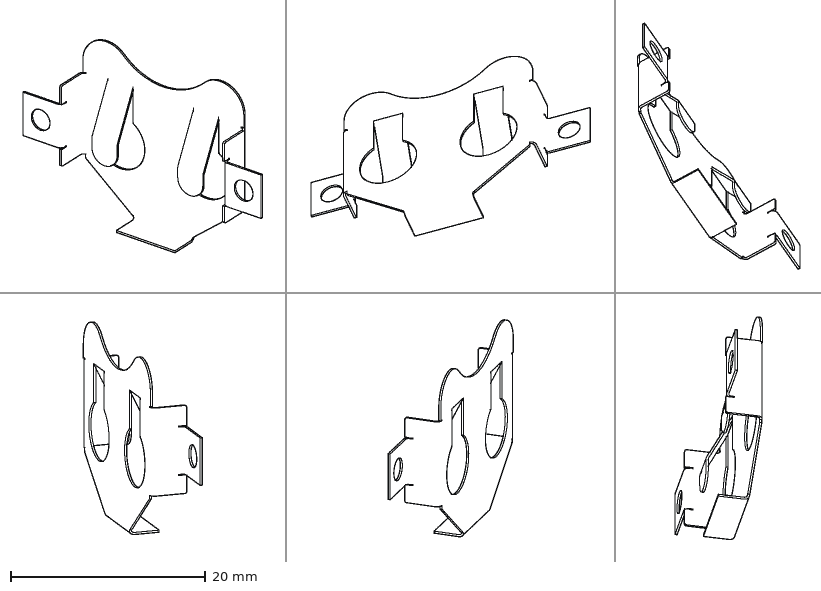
import cadquery as cq


length = 30.5
depth = 3.9
height = 19.8

sheet = 0.238
bend_inner = 0.35
bend_middle = bend_inner + sheet / 2
bend_outer = bend_inner + sheet
plate_mid_y = -sheet / 2
strip_overlap = 0.3

lobe_radius = 3.02
plate_half_width = 10.3
saddle_height = 16.85
shoulder_height = 5.43

wall_outer_x = 10.55
wall_bottom = 5.83
wall_top = 15.22
wall_corner_radius = 0.25
relief_slit = 0.1
relief_depth = 0.88

tab_width = 5.05
tab_centre_z = 10.43
tab_hole_radius = 1.2
tab_hole_x = 13.0

lip_reach = 3.3
lip_half_width = 3.75
lip_root_half_width = 3.9
lip_flare_radius = 0.37
lip_flare_z = 0.27

tongue_x = 5.5
tongue_width = 3.2
tongue_root_z = 15.5
tongue_knee_z = 9.95
tongue_reach = 3.0
window_centre_z = 8.7
window_radius = 3.1


def bent_strip(points, width, width_direction):
    """Sheet strip of constant width whose middle follows the points, with a bend at each corner."""
    path = cq.Wire.makePolygon([cq.Vector(*point) for point in points])
    ends = (points[0], points[-1])
    corners = [vertex for vertex in path.Vertices() if vertex.toTuple() not in ends]
    path = path.fillet(bend_middle, corners)
    start_direction = cq.Vector(*points[1]) - cq.Vector(*points[0])
    section = cq.Workplane(cq.Plane(origin=points[0], xDir=width_direction, normal=start_direction))
    return section.rect(width, sheet).sweep(cq.Workplane(obj=path))


def plate():
    """Flat plate up to the start of the lip and wall bends, with two lobes and a saddle on top."""
    lobe_x = plate_half_width - lobe_radius
    lobe_z = height - lobe_radius
    rise = saddle_height - lobe_z
    saddle_radius = (lobe_x**2 + rise**2 - lobe_radius**2) / (2 * (lobe_radius - rise))
    tangent_share = lobe_radius / (lobe_radius + saddle_radius)
    tangent_x = lobe_x * (1 - tangent_share)
    tangent_z = lobe_z + (saddle_height + saddle_radius - lobe_z) * tangent_share
    neck_x = wall_outer_x - bend_outer
    step_z = wall_top + relief_slit
    return (
        cq.Workplane("XZ")
        .moveTo(-lip_root_half_width, bend_outer)
        .lineTo(lip_root_half_width, bend_outer)
        .lineTo(neck_x, shoulder_height)
        .lineTo(neck_x, step_z)
        .lineTo(plate_half_width, step_z)
        .lineTo(plate_half_width, lobe_z)
        .threePointArc((lobe_x, height), (tangent_x, tangent_z))
        .threePointArc((0, saddle_height), (-tangent_x, tangent_z))
        .threePointArc((-lobe_x, height), (-plate_half_width, lobe_z))
        .lineTo(-plate_half_width, step_z)
        .lineTo(-neck_x, step_z)
        .lineTo(-neck_x, shoulder_height)
        .close()
        .extrude(sheet)
    )


def side_wall(side):
    """Wall bent forward from the plate edge, open at the front between the tab's relief slits."""
    wall_x = side * (wall_outer_x - sheet / 2)
    wall_mid_z = (wall_bottom + wall_top) / 2
    points = [
        (side * (wall_outer_x - bend_outer - strip_overlap), plate_mid_y, wall_mid_z),
        (wall_x, plate_mid_y, wall_mid_z),
        (wall_x, -depth, wall_mid_z),
    ]
    wall = bent_strip(points, wall_top - wall_bottom, (0, 0, 1))
    wall = wall.faces("<Y").edges("|X").fillet(wall_corner_radius)
    opening = cq.Workplane().box(2 * sheet, 2 * relief_depth, tab_width + 2 * relief_slit)
    return wall.cut(opening.translate((wall_x, -depth, tab_centre_z)))


def mounting_tab(side):
    """Tab continuing the wall and bent outward, with a round screw hole."""
    wall_x = side * (wall_outer_x - sheet / 2)
    tab_mid_y = -depth + sheet / 2
    points = [
        (wall_x, -depth + relief_depth + strip_overlap, tab_centre_z),
        (wall_x, tab_mid_y, tab_centre_z),
        (side * length / 2, tab_mid_y, tab_centre_z),
    ]
    tab = bent_strip(points, tab_width, (0, 0, 1))
    hole = cq.Workplane("XZ").center(side * tab_hole_x, tab_centre_z).circle(tab_hole_radius)
    return tab.cut(hole.extrude(depth))


def lip():
    """Lip bent forward along the bottom edge, its sides flaring through the bend."""
    points = [
        (0, plate_mid_y, bend_outer + strip_overlap),
        (0, plate_mid_y, sheet / 2),
        (0, -lip_reach, sheet / 2),
    ]
    strip = bent_strip(points, 2 * lip_root_half_width, (1, 0, 0))
    trim_x = lip_half_width + lip_flare_radius
    trim_height = 2 * (lip_flare_z + lip_flare_radius)
    trims = cq.Workplane("XZ").pushPoints([(-trim_x, 0), (trim_x, 0)])
    return strip.cut(trims.slot2D(trim_height, 2 * lip_flare_radius, 90).extrude(lip_reach))


def window(x):
    """Keyhole opening: a slot as wide as the tongue above a larger circle."""
    slot_height = tongue_root_z - window_centre_z
    slot = cq.Workplane("XZ").center(x, window_centre_z + slot_height / 2).rect(tongue_width, slot_height)
    circle = cq.Workplane("XZ").center(x, window_centre_z).circle(window_radius)
    return slot.extrude(sheet).union(circle.extrude(sheet))


def tongue(x):
    """Spring tongue sloping forward from the window's top edge to an upright rounded tip."""
    tip_mid_y = -tongue_reach + sheet / 2
    tip_z = window_centre_z - tongue_width / 2
    top_z = tongue_root_z + strip_overlap
    points = [
        (x, plate_mid_y, top_z),
        (x, plate_mid_y, tongue_root_z),
        (x, tip_mid_y, tongue_knee_z),
        (x, tip_mid_y, tip_z),
    ]
    strip = bent_strip(points, tongue_width, (1, 0, 0))
    outline_height = 2 * (top_z - tip_z)
    outline = cq.Workplane("XZ").center(x, tip_z + outline_height / 2)
    return strip.intersect(outline.slot2D(outline_height, tongue_width, 90).extrude(depth))


clip = plate().union(lip())
for side in (-1, 1):
    clip = clip.union(side_wall(side)).union(mounting_tab(side))
    clip = clip.cut(window(side * tongue_x)).union(tongue(side * tongue_x))

result = clip.solids()